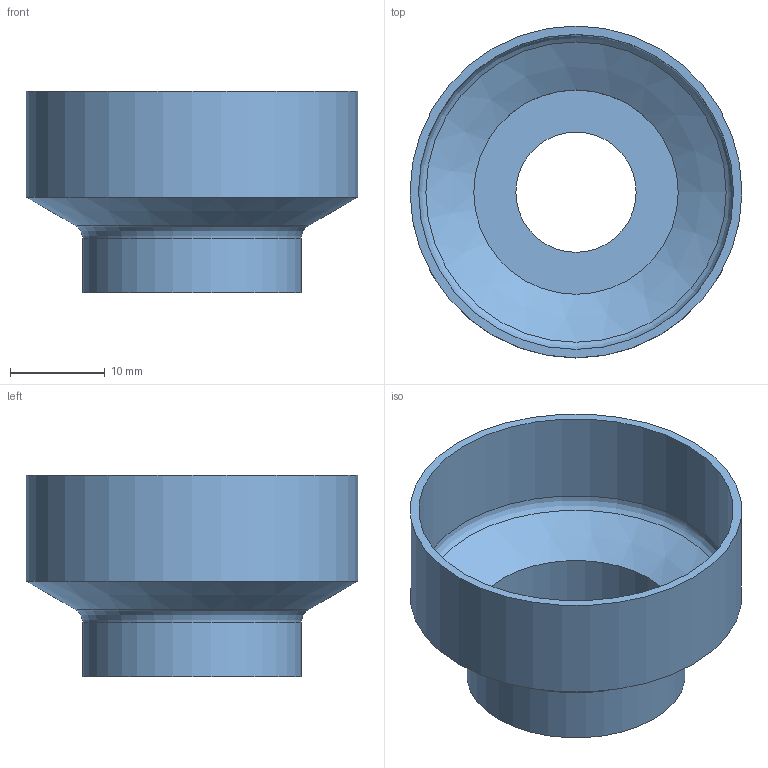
import cadquery as cq
import math

cup_diameter = 35.052
total_height = 21.336

cup_height = 11.2
cup_bore_diameter = 33.274
neck_diameter = 23.114
neck_bore_diameter = 21.59
floor_hole_diameter = 12.7
cone_slope = math.radians(30)
blend_radius = 1.55

cup_radius = cup_diameter / 2
cup_bore_radius = cup_bore_diameter / 2
neck_radius = neck_diameter / 2
neck_bore_radius = neck_bore_diameter / 2
floor_hole_radius = floor_hole_diameter / 2
neck_wall = neck_radius - neck_bore_radius
cone_wall = neck_wall
floor_thickness = neck_wall

cone_top_z = total_height - cup_height


def outer_cone_z(radius):
    """Height of the outer cone surface at a given radius."""
    return cone_top_z - (cup_radius - radius) * math.tan(cone_slope)


def inner_cone_z(radius):
    """Height of the inner cone, parallel to the outer one at the cone wall thickness."""
    return outer_cone_z(radius) + cone_wall / math.cos(cone_slope)


def blend_points(wall_radius, corner_z, side):
    """Start, middle and end of the arc tangent to a vertical wall and a cone.

    side is +1 when the arc lies outside the wall radius and -1 when it lies inside.
    """
    sweep = math.pi / 2 - cone_slope
    tangent_length = blend_radius * math.tan(sweep / 2)
    center_r = wall_radius + side * blend_radius
    center_z = corner_z - side * tangent_length

    def on_arc(angle):
        return (
            center_r - side * blend_radius * math.cos(angle),
            center_z + side * blend_radius * math.sin(angle),
        )

    return on_arc(0), on_arc(sweep / 2), on_arc(sweep)


def make_outside():
    """Solid of revolution bounded by the neck, the blend, the cone and the cup."""
    neck_end, blend_middle, cone_start = blend_points(neck_radius, outer_cone_z(neck_radius), 1)
    return (
        cq.Workplane("XZ")
        .lineTo(neck_radius, 0)
        .lineTo(*neck_end)
        .threePointArc(blend_middle, cone_start)
        .lineTo(cup_radius, cone_top_z)
        .lineTo(cup_radius, total_height)
        .lineTo(0, total_height)
        .close()
        .revolve(360, (0, 0), (0, 1))
    )


def make_cavity():
    """Stepped inside: neck bore, cone, blend and cup bore, open at the top."""
    wall_start, blend_middle, cone_end = blend_points(
        cup_bore_radius, inner_cone_z(cup_bore_radius), -1
    )
    return (
        cq.Workplane("XZ")
        .moveTo(0, floor_thickness)
        .lineTo(neck_bore_radius, floor_thickness)
        .lineTo(neck_bore_radius, inner_cone_z(neck_bore_radius))
        .lineTo(*cone_end)
        .threePointArc(blend_middle, wall_start)
        .lineTo(cup_bore_radius, total_height)
        .lineTo(0, total_height)
        .close()
        .revolve(360, (0, 0), (0, 1))
    )


def make_floor_hole():
    """Through hole in the floor of the neck."""
    return cq.Workplane("XY").circle(floor_hole_radius).extrude(total_height)


result = make_outside().cut(make_cavity()).cut(make_floor_hole())